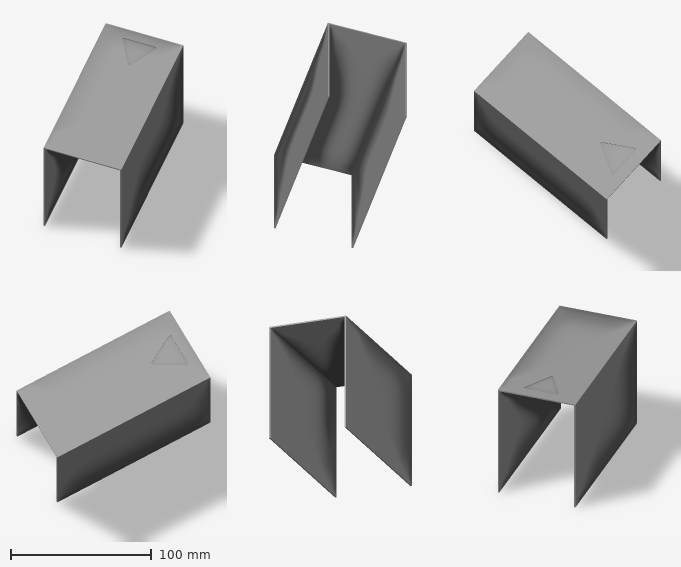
import cadquery as cq
import math

width = 59.0
length = 125.0
height = 85.0
wall = 1.0

arrow_side = 27.6
arrow_corner_radius = 1.1
arrow_edge_gap = 8.5
arrow_depth = 0.5


def make_cover():
    """Sheet cover open at the bottom and at both ends."""
    outer = cq.Workplane("XY").box(width, length, height, centered=(True, True, False))
    channel = cq.Workplane("XY").box(
        width - 2 * wall, length, height - wall, centered=(True, True, False)
    )
    return outer.cut(channel)


def make_arrow():
    """Equilateral triangle with rounded corners, sunk from the top face."""
    base_y = length / 2 - arrow_edge_gap
    tip_y = base_y - arrow_side * math.sqrt(3) / 2
    return (
        cq.Workplane("XY", origin=(0, 0, height - arrow_depth))
        .polyline([(-arrow_side / 2, base_y), (0, tip_y), (arrow_side / 2, base_y)])
        .close()
        .extrude(arrow_depth)
        .edges("|Z")
        .fillet(arrow_corner_radius)
    )


result = make_cover().cut(make_arrow())